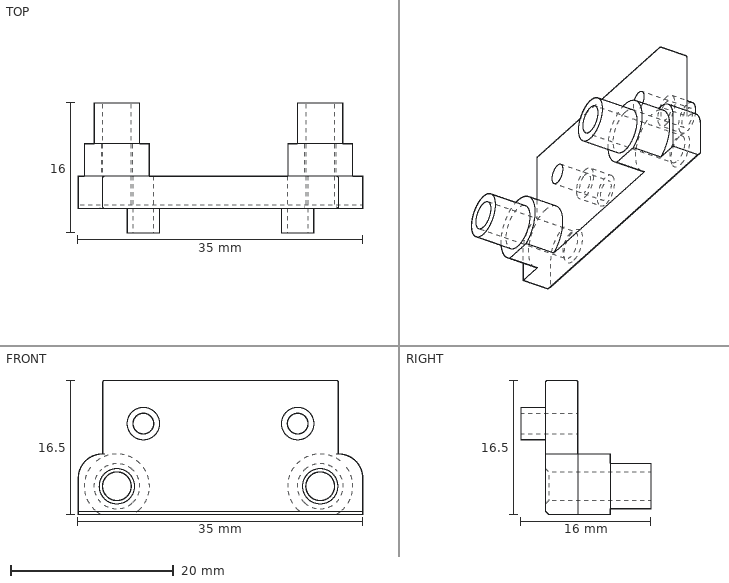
import cadquery as cq

plate_width = 35.0
plate_height = 16.52
plate_thickness = 4.0
ear_radius = 3.0
ear_height = 7.5
upper_width = plate_width - 2 * ear_radius
upper_edge_radius = 0.25
bottom_chamfer = 0.42

boss_spacing = 25.0
boss_shift = -0.25
boss_z = 3.5
collar_diameter = 2 * (ear_height - boss_z)
collar_length = 4.0
spigot_diameter = 5.6
spigot_length = 5.0
boss_bore = 3.5
countersink = 0.42

tube_spacing = 18.97
tube_z = 11.2
tube_diameter = 4.0
tube_bore = 2.52
tube_length = 3.0

boss_places = [(boss_shift + side * boss_spacing / 2, boss_z) for side in (-1, 1)]
tube_places = [(side * tube_spacing / 2, tube_z) for side in (-1, 1)]


def cylinder(place, diameter, start_y, length):
    """Cylinder along +Y, starting at start_y, centred on place = (x, z)."""
    x, z = place
    return cq.Workplane(cq.Solid.makeCylinder(
        diameter / 2, length, cq.Vector(x, start_y, z), cq.Vector(0, 1, 0)
    ))


def make_lower_plate():
    """Full-width lower part with rounded ears and a chamfered front bottom edge."""
    lower = (
        cq.Workplane("XY")
        .box(plate_width, plate_thickness, ear_height, centered=(True, False, False))
    )
    lower = lower.edges("|Y and >Z").fillet(ear_radius)
    return lower.edges("<Y and <Z").chamfer(bottom_chamfer)


def make_upper_plate():
    """Narrower full-height part with its edges above the ears rounded."""
    upper = (
        cq.Workplane("XY", origin=(0, 0, ear_height))
        .box(upper_width, plate_thickness, plate_height - ear_height, centered=(True, False, False))
    )
    return upper.edges("not <Z").fillet(upper_edge_radius)


def make_boss(place):
    """Collar and spigot, with the collar cut flat at the plate's bottom face."""
    collar = cylinder(place, collar_diameter, plate_thickness, collar_length)
    above_bottom = (
        cq.Workplane("XY", origin=(place[0], plate_thickness, 0))
        .box(collar_diameter, collar_length, ear_height, centered=(True, False, False))
    )
    spigot_start = plate_thickness + collar_length
    spigot = cylinder(place, spigot_diameter, spigot_start, spigot_length)
    return collar.intersect(above_bottom).union(spigot)


def make_boss_hole(place):
    """Through bore of a boss, with a countersink at the plate's front face."""
    bore_length = plate_thickness + collar_length + spigot_length
    bore = cylinder(place, boss_bore, 0, bore_length)
    x, z = place
    mouth = cq.Solid.makeCone(
        boss_bore / 2 + countersink, boss_bore / 2, countersink,
        cq.Vector(x, 0, z), cq.Vector(0, 1, 0),
    )
    return bore.union(cq.Workplane(mouth))


def make_plate():
    plate = make_lower_plate().union(make_upper_plate())
    for place in boss_places:
        plate = plate.union(make_boss(place))
    for place in boss_places:
        plate = plate.cut(make_boss_hole(place))
    for place in tube_places:
        plate = plate.cut(cylinder(place, tube_bore, 0, plate_thickness))
    return plate


def make_tube(place):
    """Tube standing on the plate's front face, in line with the plate's hole."""
    outside = cylinder(place, tube_diameter, -tube_length, tube_length)
    return outside.cut(cylinder(place, tube_bore, -tube_length, tube_length))


plate = make_plate()
tubes = [make_tube(place) for place in tube_places]

result = cq.Compound.makeCompound([plate.val(), *[tube.val() for tube in tubes]])